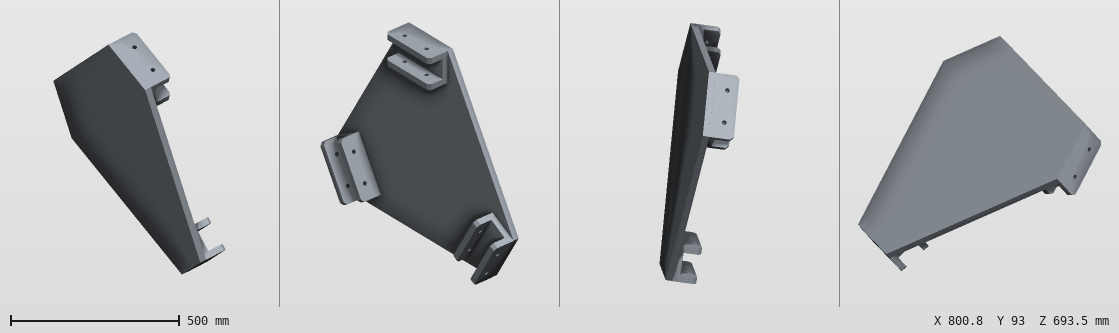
import cadquery as cq
import math

short_edge = 200.0
long_edge = 600.0
plate_thickness = 20.0

board_thickness = 20.0
channel_gap = 70.0
bracket_depth = 73.0
corner_chamfer = 10.0
hole_diameter = 14.0
hole_spacing = 100.0
hole_from_tip = 33.0

bracket_count = 3
array_axis_drop = 0.4425

triangle_edge = long_edge + 2 * short_edge
row_slope = math.sqrt(3) / 2
plate_bottom = -triangle_edge * row_slope / 3
plate_top = plate_bottom + (triangle_edge - short_edge) * row_slope
side_corner_x = (long_edge + short_edge) / 2
side_corner_z = plate_bottom + short_edge * row_slope

bracket_height = channel_gap + 2 * board_thickness
bracket_tip = plate_thickness + bracket_depth
web_back = plate_thickness + board_thickness


def make_plate():
    right_half = [
        (long_edge / 2, plate_bottom),
        (side_corner_x, side_corner_z),
        (short_edge / 2, plate_top),
    ]
    left_half = [(-x, z) for x, z in reversed(right_half)]
    outline = cq.Workplane("XZ").polyline(right_half + left_half).close()
    return outline.extrude(-plate_thickness)


def make_top_bracket():
    """U-shaped channel opening to +Y, with its outer flange flush with the plate top."""
    bracket = (
        cq.Workplane("XY", origin=(0, plate_thickness + bracket_depth / 2, plate_top))
        .rect(short_edge, bracket_depth)
        .extrude(-bracket_height)
        .edges("|Z and >Y")
        .chamfer(corner_chamfer)
    )
    gap = (
        cq.Workplane("XY", origin=(0, web_back + bracket_depth / 2, plate_top - board_thickness))
        .rect(short_edge, bracket_depth)
        .extrude(-channel_gap)
    )
    holes = (
        cq.Workplane("XY", origin=(0, bracket_tip - hole_from_tip, plate_top))
        .pushPoints([(-hole_spacing / 2, 0), (hole_spacing / 2, 0)])
        .circle(hole_diameter / 2)
        .extrude(-bracket_height)
    )
    return bracket.cut(gap).cut(holes)


def add_brackets(plate):
    axis_start = (0, 0, -array_axis_drop)
    axis_end = (0, 1, -array_axis_drop)
    top_bracket = make_top_bracket()
    body = plate
    for index in range(bracket_count):
        turn = index * 360 / bracket_count
        body = body.union(top_bracket.rotate(axis_start, axis_end, turn))
    return body


result = add_brackets(make_plate())